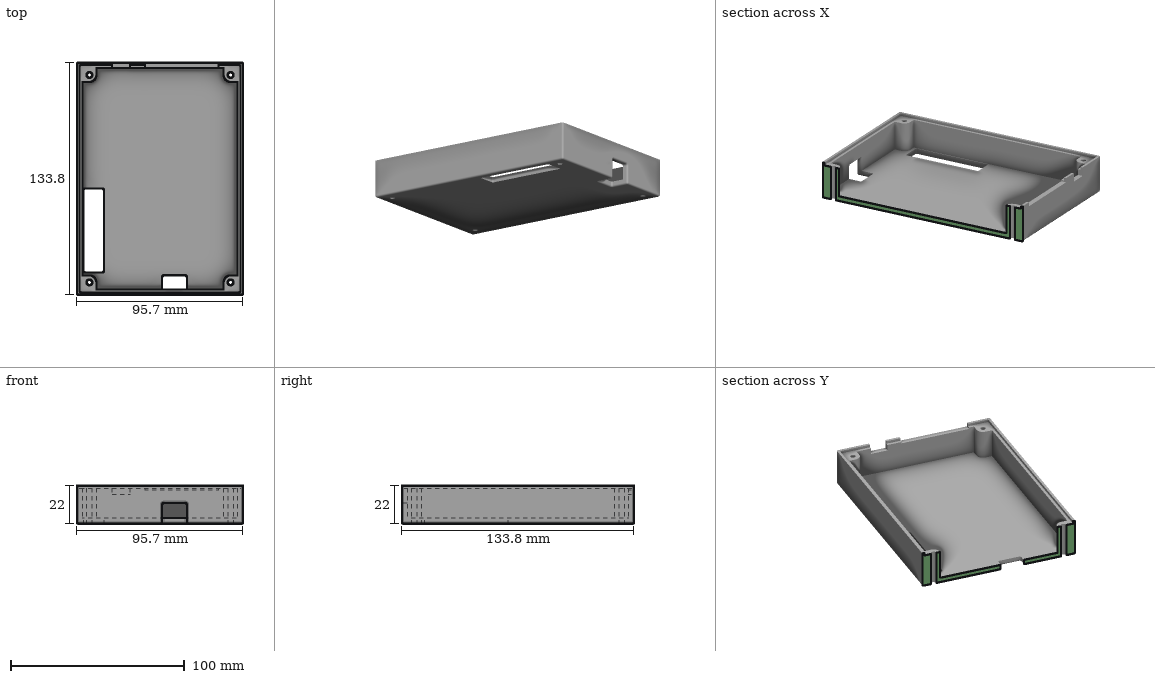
import cadquery as cq

LENGTH_X = 95.7
LENGTH_Y = 133.8
HEIGHT = 22.0
EDGE_RADIUS = 1.0

WALL = 3.2
FLOOR = WALL
RIM_WALL = 1.5
RIM_DEPTH = 1.6
RIM_CORNER_RADIUS = 0.7

LEFT = -LENGTH_X / 2
FRONT = -LENGTH_Y / 2
BACK = LENGTH_Y / 2
LEDGE_Z = HEIGHT - RIM_DEPTH

POST_RADIUS = 4.0
POST_INSET = WALL + POST_RADIUS
POST_REACH = POST_INSET + POST_RADIUS
SCREW_HOLE_DIAMETER = 3.1

BACK_SLOTS = [
    (20.3, 10.2, 5.2),
    (39.3, 42.2, 2.5),
]

WINDOW_FROM_LEFT = 3.8
WINDOW_FROM_FRONT = 13.0
WINDOW_WIDTH = 11.7
WINDOW_LENGTH = 48.2
WINDOW_RADIUS = 0.8

OPENING_FROM_LEFT = 49.1
OPENING_WIDTH = 14.2
OPENING_TOP = 12.0
OPENING_DEPTH = POST_REACH
OPENING_RADIUS = 1.0


def corner_box(x, y, z, size_x, size_y, size_z):
    """Box placed by its left, front, bottom corner."""
    return cq.Workplane("XY").box(size_x, size_y, size_z, centered=False).translate((x, y, z))


def inset_box(inset, bottom, top):
    """Box that keeps the same distance from all four sides of the tray."""
    size_x = LENGTH_X - 2 * inset
    size_y = LENGTH_Y - 2 * inset
    return corner_box(LEFT + inset, FRONT + inset, bottom, size_x, size_y, top - bottom)


def make_connector_opening():
    """Passage through the front wall joined to a notch in the floor behind it."""
    x = LEFT + OPENING_FROM_LEFT
    passage = corner_box(x, FRONT, 0, OPENING_WIDTH, WALL, OPENING_TOP)
    passage = passage.faces(">Z").edges("|Y").fillet(OPENING_RADIUS)
    notch = corner_box(x, FRONT, 0, OPENING_WIDTH, OPENING_DEPTH, FLOOR)
    notch = notch.faces(">Y").edges("|Z").fillet(OPENING_RADIUS)
    return passage.union(notch)


def make_block():
    """Solid block with the connector opening and every outer edge but the top ones rounded."""
    block = inset_box(0, 0, HEIGHT).edges("|Z").fillet(EDGE_RADIUS)
    block = block.cut(make_connector_opening())
    front_edges = block.faces("<Y").edges("not(>Z or <X or >X)")
    return block.faces("<Z").edges().add(front_edges).fillet(EDGE_RADIUS)


def make_posts():
    """Square corner posts, each with its free corner rounded about the screw axis."""
    post = corner_box(LEFT + WALL, FRONT + WALL, FLOOR, 2 * POST_RADIUS, 2 * POST_RADIUS, LEDGE_Z - FLOOR)
    post = post.edges("|Z and >X and >Y").fillet(POST_RADIUS)
    left_pair = post.union(post.mirror("XZ"))
    return left_pair.union(left_pair.mirror("YZ"))


def make_screw_holes():
    spacing_x = LENGTH_X - 2 * POST_INSET
    spacing_y = LENGTH_Y - 2 * POST_INSET
    centers = cq.Workplane("XY").rect(spacing_x, spacing_y, forConstruction=True).vertices()
    return centers.circle(SCREW_HOLE_DIAMETER / 2).extrude(LEDGE_Z)


def make_rim_recess():
    return inset_box(RIM_WALL, LEDGE_Z, HEIGHT).edges("|Z").fillet(RIM_CORNER_RADIUS)


def make_back_slot(start, width, depth):
    return corner_box(LEFT + start, BACK - WALL, HEIGHT - depth, width, WALL, depth)


def make_floor_window():
    x = LEFT + WINDOW_FROM_LEFT
    y = FRONT + WINDOW_FROM_FRONT
    window = corner_box(x, y, 0, WINDOW_WIDTH, WINDOW_LENGTH, FLOOR)
    return window.edges("|Z").fillet(WINDOW_RADIUS)


cavity = inset_box(WALL, FLOOR, HEIGHT)
tray = make_block().cut(cavity).union(make_posts())
tray = tray.cut(make_rim_recess()).cut(make_screw_holes())
for start, width, depth in BACK_SLOTS:
    tray = tray.cut(make_back_slot(start, width, depth))

result = tray.cut(make_floor_window())